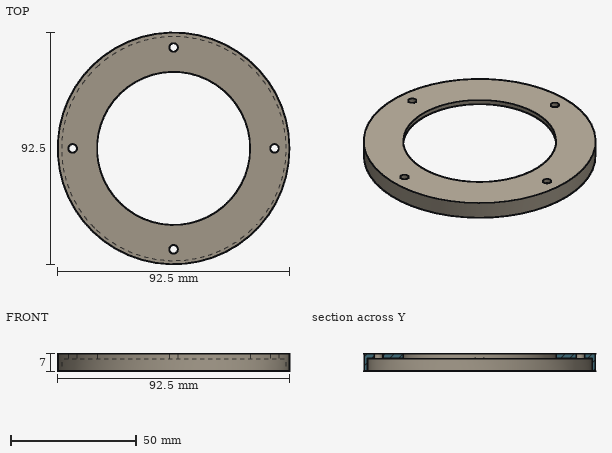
import cadquery as cq

outer_diameter = 92.5
height = 7.0
opening_diameter = 61.0
recess_diameter = 89.5
plate_thickness = 2.0
screw_hole_diameter = 3.3
screw_circle_diameter = 80.5
screw_count = 4

recess_depth = height - plate_thickness


def cylinder(diameter, length):
    """Upright cylinder standing on the base plane."""
    return cq.Workplane("XY").circle(diameter / 2).extrude(length)


cap = cylinder(outer_diameter, height).cut(cylinder(recess_diameter, recess_depth))

ring = cap.cut(cylinder(opening_diameter, height))

screw_holes = (
    cq.Workplane("XY")
    .polarArray(screw_circle_diameter / 2, 0, 360, screw_count)
    .circle(screw_hole_diameter / 2)
    .extrude(height)
)

result = ring.cut(screw_holes)